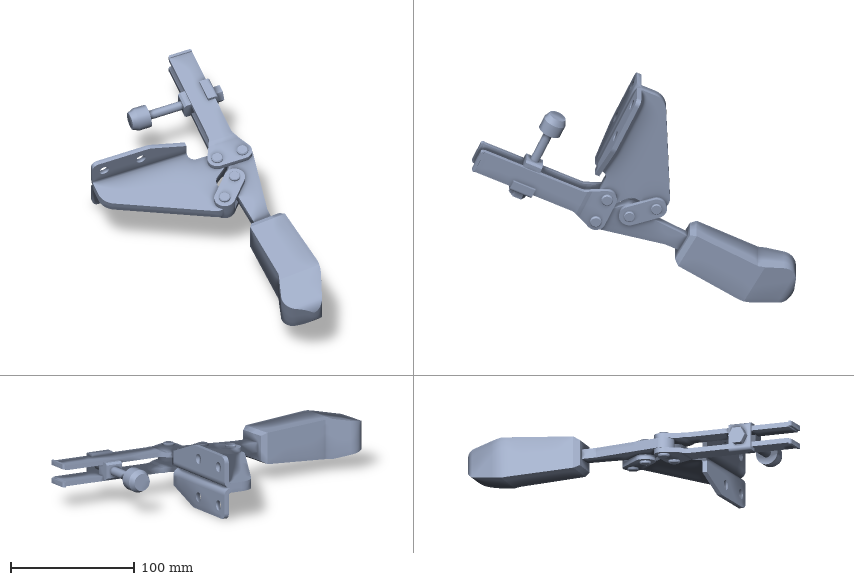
import cadquery as cq
import math


sheet = 4.0
half_web = sheet
half_hub = half_web + sheet
arm_pivot_x = 111.3
lever_pivot = (arm_pivot_x, 124.0)
base_pivot = (arm_pivot_x, 102.0)
lever_link_pivot = (134.0, 108.2)
base_link_pivot = (151.2, 92.8)
rivet_head_height = 2.0
arm_rivet_radius = 4.8
arm_rivet_chamfer = 0.9
link_rivet_radius = 4.5
link_rivet_chamfer = 0.5

flange_x = 91.0
flange_height = 81.7
flange_span = 52.0
flange_top_span = 28.8
flange_taper_y = 49.8
flange_taper_radius = 10.0
flange_corner_radius = 5.0
inner_bend_radius = 1.7
outer_bend_radius = inner_bend_radius + sheet
web_x = flange_x + outer_bend_radius
hole_diameter = 8.3
hole_pitch_y = 32.0
hole_pitch_z = 32.0
lower_hole_y = 10.0
base_hub_radius = 8.3
web_neck_fillet = 6.0
web_foot = (116.8, 0)
web_foot_radius = 15.0
web_outer_corner = (165.7, 96.8)
web_outer_radius = 9.0
notch_corner = (129.0, 92.8)
notch_radius = 8.5
notch_normal_angle = 40.4

arm_axis_y = (lever_pivot[1] + base_pivot[1]) / 2
arm_width = 20.0
arm_hub_radius = 8.0
arm_flare_angle = 25.7
arm_flare_fillet = 8.8
arm_spread = 0.7
arm_inner_z = half_web + arm_spread
arm_outer_z = arm_inner_z + sheet
jog_start_x = 93.7
jog_end_x = 97.5
tip_flare = 0.9
tip_flat = 2.3
tip_length = 2.5
tip_chamfer = 1.0

link_radius = 8.5

lever_nose_radius = 8.5
shank_start_x = 171.7
shank_top_y = 122.0
shank_bottom_y = 107.4
lever_underside_y = 103.5
lever_throat = (113.0, 115.0)

grip_front = (184.5, 115.0)
grip_tilt = 4.2
grip_front_half_v = 12.5
grip_front_half_z = 10.5
grip_bevel_length = 4.5
grip_shoulder_half_v = 15.7
grip_shoulder_half_z = 13.0
grip_crest = (67.0, 17.7)
grip_crest_radius = 34.2
grip_nose = (103.0, 2.0)
grip_nose_radius = 9.7
grip_heel = (90.8, -28.2)
grip_heel_radius = 11.5
grip_waist = (60.7, -17.0)
grip_widest_u = 66.0
grip_widest_half_z = 16.8
grip_end_u = 100.8
grip_end_half_z = 10.5
grip_end_radius = 11.0
grip_blank_half = 28.5

parting_front_x = 193.0
parting_corners = [
    ((parting_front_x, 119.3), 2.8),
    ((206.2, 112.8), 7.0),
    ((244.5, 127.9), 8.5),
    ((265.7, 118.2), 2.3),
    ((240.3, 105.6), 1.7),
]
parting_low_y = 85.5
parting_high_y = 142.5
parting_start_x = 170.9

spindle_x = 44.5
shaft_radius = 3.7
nut_corner_diameter = 14.5
nut_height = 6.3
clip_width = 19.5
clip_thickness = 2.5
clip_lip_depth = 6.3
guide_width = 14.5
guide_neck_height = 6.0
guide_flange_height = 6.0
guide_chamfer = 1.7
cap_radius = 9.5
cap_end_radius = 7.0
cap_top_y = 67.8
cap_cone_y = 57.5
cap_bottom_y = 52.5


def polar(center, radius, degrees):
    """Point on a circle at an angle counted from +X."""
    angle = math.radians(degrees)
    return (center[0] + radius * math.cos(angle), center[1] + radius * math.sin(angle))


def plate(outline, half_thickness):
    """Flat plate with a polygonal XY outline, centred on Z = 0."""
    return cq.Workplane("XY").polyline(outline).close().extrude(half_thickness, both=True)


def disc(center, radius, half_thickness):
    """Round plate centred on Z = 0."""
    return cq.Workplane("XY").center(*center).circle(radius).extrude(half_thickness, both=True)


def round_corner(body, corner, radius):
    """Round the plate corner nearest to an XY point."""
    return body.edges(cq.NearestToPointSelector((corner[0], corner[1], 0))).fillet(radius)


def rivet(center, radius, chamfer):
    """Round pin whose chamfered heads stand out on both sides of the hub."""
    return disc(center, radius, half_hub + rivet_head_height).faces("<Z or >Z").chamfer(chamfer)


def make_base():
    """Web with two flanges bent outward, mounting holes and two pivot holes."""
    hub_tangent = polar(base_pivot, base_hub_radius, notch_normal_angle)
    neck_x = base_pivot[0] - base_hub_radius
    web = plate(
        [
            (web_x, 0),
            web_foot,
            web_outer_corner,
            notch_corner,
            hub_tangent,
            base_pivot,
            (neck_x, base_pivot[1]),
            (neck_x, flange_height),
            (web_x, flange_height),
        ],
        half_web,
    )
    web = round_corner(web, web_foot, web_foot_radius)
    web = round_corner(web, web_outer_corner, web_outer_radius)
    web = round_corner(web, notch_corner, notch_radius)
    web = round_corner(web, (neck_x, flange_height), web_neck_fillet)
    web = web.union(disc(base_pivot, base_hub_radius, half_web))
    web = web.union(disc(base_link_pivot, link_radius, half_web))

    half_span = flange_span / 2
    inner_x = flange_x + sheet
    bend = math.cos(math.radians(45))
    outer_middle = (web_x - outer_bend_radius * bend, outer_bend_radius * (1 - bend))
    inner_middle = (web_x - inner_bend_radius * bend, outer_bend_radius - inner_bend_radius * bend)
    flange = (
        cq.Workplane("XZ")
        .moveTo(flange_x, half_span)
        .lineTo(flange_x, outer_bend_radius)
        .threePointArc(outer_middle, (web_x, 0))
        .lineTo(web_x, half_web)
        .threePointArc(inner_middle, (inner_x, outer_bend_radius))
        .lineTo(inner_x, half_span)
        .close()
        .extrude(-flange_height)
    )
    flanges = flange.union(flange.mirror("XY"))

    half_top = flange_top_span / 2
    outline = (
        cq.Workplane("YZ", origin=(flange_x, 0, 0))
        .polyline(
            [
                (0, -half_span),
                (flange_taper_y, -half_span),
                (flange_height, -half_top),
                (flange_height, half_top),
                (flange_taper_y, half_span),
                (0, half_span),
            ]
        )
        .close()
        .extrude(outer_bend_radius)
    )
    middle_x = flange_x + outer_bend_radius / 2
    for side in (-1, 1):
        for y, radius in ((0, flange_corner_radius), (flange_taper_y, flange_taper_radius)):
            corner = cq.NearestToPointSelector((middle_x, y, side * half_span))
            outline = outline.edges(corner).fillet(radius)
    holes = (
        cq.Workplane("YZ", origin=(flange_x, 0, 0))
        .center(lower_hole_y + hole_pitch_y / 2, 0)
        .rarray(hole_pitch_y, hole_pitch_z, 2, 2)
        .circle(hole_diameter / 2)
        .extrude(sheet)
    )
    base = web.union(flanges.intersect(outline)).cut(holes)
    base = base.cut(disc(base_pivot, arm_rivet_radius, half_web))
    return base.cut(disc(base_link_pivot, link_rivet_radius, half_web))


def make_arm():
    """Two jogged plates joined by two rivets."""
    half_width = arm_width / 2
    top_tangent = polar(lever_pivot, arm_hub_radius, 90 + arm_flare_angle)
    flare_rise = top_tangent[1] - (arm_axis_y + half_width)
    flare_x = top_tangent[0] - flare_rise / math.tan(math.radians(arm_flare_angle))
    upper_half = [
        (0, arm_axis_y + half_width),
        (flare_x, arm_axis_y + half_width),
        top_tangent,
        lever_pivot,
        (lever_pivot[0] + arm_hub_radius, lever_pivot[1]),
    ]
    lower_half = [(x, 2 * arm_axis_y - y) for x, y in reversed(upper_half)]
    outline = plate(upper_half + lower_half, arm_outer_z + tip_flare)
    for side in (-1, 1):
        edge_y = arm_axis_y + side * half_width
        outline = round_corner(outline, (flare_x, edge_y), arm_flare_fillet)
        tip_corner = cq.NearestToPointSelector((0, edge_y, 0))
        outline = outline.edges(tip_corner).chamfer(tip_chamfer)
    for pivot in (lever_pivot, base_pivot):
        outline = outline.union(disc(pivot, arm_hub_radius, arm_outer_z + tip_flare))

    hub_end_x = arm_pivot_x + arm_hub_radius
    inner_line = [
        (0, arm_inner_z + tip_flare),
        (tip_flat, arm_inner_z + tip_flare),
        (tip_length, arm_inner_z),
        (jog_start_x, arm_inner_z),
        (jog_end_x, half_web),
        (hub_end_x, half_web),
    ]
    outer_line = [(x, z + sheet) for x, z in reversed(inner_line)]
    strip_end_y = lever_pivot[1] + 2 * arm_hub_radius
    strip = cq.Workplane("XZ").polyline(inner_line + outer_line).close().extrude(-strip_end_y)
    upper_plate = strip.intersect(outline)
    arm = upper_plate.union(upper_plate.mirror("XY"))
    for pivot in (lever_pivot, base_pivot):
        arm = arm.union(rivet(pivot, arm_rivet_radius, arm_rivet_chamfer))
    return arm


def make_link():
    """Two slot-shaped plates joined by two rivets."""
    run_x = base_link_pivot[0] - lever_link_pivot[0]
    run_y = base_link_pivot[1] - lever_link_pivot[1]
    middle = (lever_link_pivot[0] + run_x / 2, lever_link_pivot[1] + run_y / 2)
    upper_plate = (
        cq.Workplane("XY", origin=(middle[0], middle[1], half_web))
        .slot2D(math.hypot(run_x, run_y) + 2 * link_radius, 2 * link_radius,
                math.degrees(math.atan2(run_y, run_x)))
        .extrude(sheet)
    )
    link = upper_plate.union(upper_plate.mirror("XY"))
    for pivot in (lever_link_pivot, base_link_pivot):
        link = link.union(rivet(pivot, link_rivet_radius, link_rivet_chamfer))
    return link


def make_lever():
    """Plate lever with two pivot eyes; its shank ends at the tilted front face of the grip."""
    tilt = math.tan(math.radians(grip_tilt))
    shank_top = (grip_front[0] - tilt * (shank_top_y - grip_front[1]), shank_top_y)
    shank_bottom = (grip_front[0] - tilt * (shank_bottom_y - grip_front[1]), shank_bottom_y)
    back_fall = math.atan2(
        lever_pivot[1] + lever_nose_radius - shank_top_y, shank_start_x - lever_pivot[0]
    )
    link_angle = math.degrees(
        math.atan2(base_link_pivot[1] - lever_link_pivot[1], base_link_pivot[0] - lever_link_pivot[0])
    )
    lever = plate(
        [
            polar(lever_pivot, lever_nose_radius, 90 - math.degrees(back_fall)),
            (shank_start_x, shank_top_y),
            shank_top,
            shank_bottom,
            (lever_link_pivot[0], lever_underside_y),
            polar(lever_link_pivot, lever_nose_radius, link_angle - 90),
            lever_throat,
            lever_pivot,
        ],
        half_web,
    )
    lever = lever.union(disc(lever_pivot, lever_nose_radius, half_web))
    lever = lever.union(disc(lever_link_pivot, lever_nose_radius, half_web))
    lever = lever.cut(disc(lever_pivot, arm_rivet_radius, half_web))
    return lever.cut(disc(lever_link_pivot, link_rivet_radius, half_web))


def make_grip_blank():
    """Whole grip: its side outline crossed with its thickness outline."""
    side = plate(
        [
            (0, -grip_front_half_v),
            (0, grip_front_half_v),
            (grip_bevel_length, grip_shoulder_half_v),
            grip_crest,
            grip_nose,
            grip_heel,
            grip_waist,
            (grip_bevel_length, -grip_shoulder_half_v),
        ],
        grip_blank_half,
    )
    side = round_corner(side, grip_crest, grip_crest_radius)
    side = round_corner(side, grip_nose, grip_nose_radius)
    side = round_corner(side, grip_heel, grip_heel_radius)

    upper_edge = [
        (0, grip_front_half_z),
        (grip_bevel_length, grip_shoulder_half_z),
        (grip_widest_u, grip_widest_half_z),
        (grip_end_u, grip_end_half_z),
    ]
    lower_edge = [(u, -z) for u, z in reversed(upper_edge)]
    thickness = (
        cq.Workplane("XZ")
        .polyline(upper_edge + lower_edge)
        .close()
        .extrude(grip_blank_half, both=True)
        .faces(">X")
        .edges("|Y")
        .fillet(grip_end_radius)
    )
    grip = side.intersect(thickness)
    return grip.rotate((0, 0, 0), (0, 0, 1), grip_tilt).translate((*grip_front, 0))


def make_parting_block():
    """Block on the front side of the wavy parting curve."""
    corner_points = [point for point, radius in parting_corners]
    block = plate(
        [
            (parting_start_x, parting_low_y),
            (parting_start_x, parting_high_y),
            (parting_front_x, parting_high_y),
            *corner_points,
            (corner_points[-1][0], parting_low_y),
        ],
        grip_blank_half,
    )
    for point, radius in parting_corners:
        block = round_corner(block, point, radius)
    return block


def make_spindle():
    """Threaded spindle with hexagon nut, arm clip, guide piece and pressure cap."""
    arm_top_y = arm_axis_y + arm_width / 2
    arm_bottom_y = arm_axis_y - arm_width / 2
    clip_top_y = arm_top_y + clip_thickness

    def along_y(y):
        return cq.Workplane(cq.Plane((spindle_x, y, 0), (-1, 0, 0), (0, 1, 0)))

    shaft = along_y(cap_top_y).circle(shaft_radius).extrude(clip_top_y - cap_top_y)
    nut = along_y(clip_top_y).polygon(6, nut_corner_diameter).extrude(nut_height)

    clip_half_z = arm_outer_z + clip_thickness
    clip_bottom_y = arm_top_y - clip_lip_depth
    clip = along_y(clip_bottom_y).rect(clip_width, 2 * clip_half_z).extrude(clip_top_y - clip_bottom_y)
    clip = clip.faces(">Y").edges("|X").fillet(clip_thickness)
    clip = clip.cut(along_y(clip_bottom_y).rect(clip_width, 2 * arm_outer_z).extrude(clip_lip_depth))

    guide_bottom_y = arm_bottom_y - guide_flange_height
    guide = along_y(guide_bottom_y).rect(guide_width, guide_width).extrude(guide_flange_height)
    guide = guide.faces("<Y").edges("|X").chamfer(guide_chamfer)
    neck = along_y(arm_bottom_y).rect(guide_width, 2 * arm_inner_z).extrude(guide_neck_height)

    cap = (
        cq.Workplane("XY", origin=(spindle_x, 0, 0))
        .polyline(
            [
                (0, cap_bottom_y),
                (cap_end_radius, cap_bottom_y),
                (cap_radius, cap_cone_y),
                (cap_radius, cap_top_y),
                (0, cap_top_y),
            ]
        )
        .close()
        .revolve(360, (0, 0, 0), (0, 1, 0))
    )
    return shaft.union(nut).union(clip).union(guide).union(neck).union(cap)


base = make_base()
arm = make_arm()
link = make_link()
lever = make_lever()
grip_blank = make_grip_blank()
parting_block = make_parting_block()
grip_core = grip_blank.intersect(parting_block)
grip_cover = grip_blank.cut(parting_block)
spindle = make_spindle()

result = cq.Compound.makeCompound(
    [
        base.val(),
        arm.val(),
        link.val(),
        lever.val(),
        grip_core.val(),
        grip_cover.val(),
        spindle.val(),
    ]
)